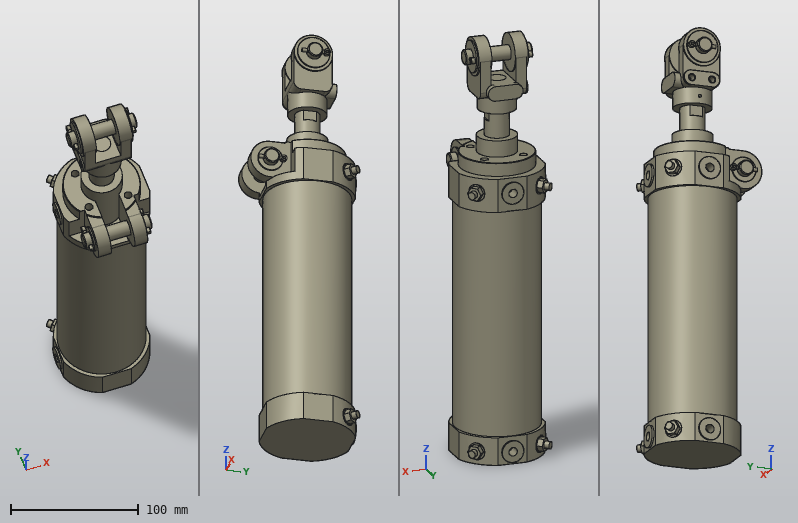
import cadquery as cq
import math

REAR_TOP = 23.0
HEAD_BOTTOM = 210.0
HEAD_STEP = 237.5
HEAD_TOP = 248.5
COLLAR_TOP = 262.0
ROD_FLATS_BOTTOM = 275.5
CLEVIS_BOTTOM = 284.0
CLEVIS_BASE_BOTTOM = 297.0
CLEVIS_BASE_TOP = 309.0
CLEVIS_PIN_Z = 329.0
LUG_PIN_Z = 232.0

TUBE_DIA = 70.0
COVER_HALF = 36.0
COVER_FLAT = 24.0
COVER_RADIUS = math.hypot(COVER_HALF, COVER_FLAT / 2)
SPIGOT_DIA = 61.0
SPIGOT_CHAMFER = 0.5
COLLAR_DIA = 32.5
ROD_DIA = 20.0
ROD_ACROSS_FLATS = 17.0
STUD_DIA = 14.38

EYE_DIA = 31.0
GAP = 19.5
EYE_WIDTH = 41.0
PIN_DIA = 12.0
PIN_LENGTH = 55.5
PIN_CHAMFER = 0.8
LUG_PIN_Y = -35.0
LUG_TOP = LUG_PIN_Z + EYE_DIA / 2
RELIEF_Y = -18.0
RELIEF_FLOOR = 217.2
SLOT_FLOOR = 214.0
LUG_FACE_DIA = 20.0
FORK_FACE_DIA = 26.0
FACE_WIDTH = 43.5

PORT_ANGLES = (90, 180)
PORT_BOSS_DIA = 18.0
PORT_BOSS_HEIGHT = 1.5
PORT_DIA = 6.93
PORT_DEPTH = 12.0
DRILL_POINT_ANGLE = 118.0
PORT_POINT = PORT_DIA / 2 / math.tan(math.radians(DRILL_POINT_ANGLE / 2))
REAR_PORT_Z = 10.5
HEAD_PORT_Z = 225.0
VALVE_ANGLES = (45, 135)
VALVE_SPOT_DIA = 13.8
VALVE_SPOT_RADIUS = 37.0
VALVE_HEX = 10.0
VALVE_HEX_REACH = 42.0
VALVE_STEM_DIA = 6.0
VALVE_REACH = 46.5
BOLT_DIA = 6.0
BOLT_CIRCLE = 46.0
BOLT_COUNT = 4
BOLT_ANGLE = 45.0
BOLT_DEPTH = 10.0

FORK_WIDTH = 38.5
FORK_GAP = 21.0
PAD_HEIGHT = CLEVIS_BASE_TOP - CLEVIS_BASE_BOTTOM
PAD_RADIUS = PAD_HEIGHT / 2
PAD_Z = CLEVIS_BASE_BOTTOM + PAD_RADIUS
SIDE_PAD_REACH = EYE_WIDTH / 2
SIDE_PAD_LENGTH = 30.0
REAR_PAD_REACH = 20.5
REAR_PAD_LENGTH = 29.0
SCREW_SPACING = 17.0
SCREW_DIA = 4.92
SCREW_MOUTH_DIA = 6.0
SCREW_MOUTH_ANGLE = 90.0
SCREW_DEPTH = 8.0
NUB_DIA = 2.3
NUB_Z = 290.0
NUB_REACH = 16.2

SPLIT_DIA = 3.0
SPLIT_X = 23.8
SPLIT_TAIL = 10.0
SPLIT_RING_DIA = 4.92
SPLIT_RING_WIDTH = 3.2
SPLIT_EYE_DIA = 2.3
SPLIT_RING_Y = 10.0


def rod_z(diameter, bottom, top):
    return cq.Workplane("XY").workplane(offset=bottom).circle(diameter / 2).extrude(top - bottom)


def bar_x(diameter, width, y, z):
    """Round bar along X, centred on X = 0."""
    return cq.Workplane("YZ", origin=(-width / 2, y, z)).circle(diameter / 2).extrude(width)


def block(x0, x1, y0, y1, z0, z1):
    return cq.Workplane("XY").box(x1 - x0, y1 - y0, z1 - z0, centered=False).translate((x0, y0, z0))


def cover(bottom, top):
    """Round cover with four flats."""
    square = block(-COVER_HALF, COVER_HALF, -COVER_HALF, COVER_HALF, bottom, top)
    return rod_z(2 * COVER_RADIUS, bottom, top).intersect(square)


def radially(shape, angle, z):
    """Turn a shape built along +Z so that it points outward at an angle, at height z."""
    return shape.rotate((0, 0, 0), (0, 1, 0), 90).rotate((0, 0, 0), (0, 0, 1), angle).translate((0, 0, z))


def add_ports_and_valves(body, z):
    """Add the port bosses and the needle valves of one cover."""
    boss_end = COVER_HALF + PORT_BOSS_HEIGHT
    for angle in PORT_ANGLES:
        boss = rod_z(PORT_BOSS_DIA, TUBE_DIA / 2, boss_end)
        port = rod_z(PORT_DIA, boss_end - PORT_DEPTH, boss_end)
        drill_point = cq.Solid.makeCone(
            0, PORT_DIA / 2, PORT_POINT, pnt=cq.Vector(0, 0, boss_end - PORT_DEPTH - PORT_POINT)
        )
        port = port.union(cq.Workplane(drill_point))
        body = body.union(radially(boss, angle, z)).cut(radially(port, angle, z))
    for angle in VALVE_ANGLES:
        spot_face = rod_z(VALVE_SPOT_DIA, VALVE_SPOT_RADIUS, VALVE_REACH)
        body = body.cut(radially(spot_face, angle, z))
        hexagon = (
            cq.Workplane("XY")
            .workplane(offset=TUBE_DIA / 2)
            .polygon(6, VALVE_HEX, circumscribed=True)
            .extrude(VALVE_HEX_REACH - TUBE_DIA / 2)
        )
        stem = rod_z(VALVE_STEM_DIA, TUBE_DIA / 2, VALVE_REACH)
        body = body.union(radially(hexagon.union(stem), angle, z))
    return body


def make_head():
    """Front cover with the mounting lugs and the collar."""
    spigot = rod_z(SPIGOT_DIA, RELIEF_FLOOR, HEAD_TOP).faces(">Z").chamfer(SPIGOT_CHAMFER)
    head = cover(HEAD_BOTTOM, HEAD_STEP).union(spigot)
    clear = 2 * COVER_HALF
    head = head.cut(block(-clear, clear, -clear, RELIEF_Y, RELIEF_FLOOR, HEAD_TOP))
    half = EYE_WIDTH / 2
    lugs = block(-half, half, LUG_PIN_Y, RELIEF_Y, RELIEF_FLOOR, LUG_TOP)
    lugs = lugs.union(bar_x(EYE_DIA, EYE_WIDTH, LUG_PIN_Y, LUG_PIN_Z))
    lugs = lugs.union(spigot.intersect(block(-half, half, -clear, RELIEF_Y, RELIEF_FLOOR, HEAD_TOP)))
    lugs = lugs.union(bar_x(LUG_FACE_DIA, FACE_WIDTH, LUG_PIN_Y, LUG_PIN_Z))
    head = head.union(lugs)
    head = head.cut(block(-GAP / 2, GAP / 2, -clear, 0, SLOT_FLOOR, HEAD_TOP))
    head = head.cut(bar_x(PIN_DIA, FACE_WIDTH, LUG_PIN_Y, LUG_PIN_Z))
    bolts = (
        cq.Workplane("XY")
        .workplane(offset=HEAD_TOP - BOLT_DEPTH)
        .polarArray(BOLT_CIRCLE / 2, BOLT_ANGLE, 360, BOLT_COUNT)
        .circle(BOLT_DIA / 2)
        .extrude(BOLT_DEPTH)
    )
    return head.cut(bolts).union(rod_z(COLLAR_DIA, HEAD_BOTTOM, COLLAR_TOP))


def make_cylinder():
    """Tube with both covers, the collar and the rod with its end stud."""
    body = cover(0, REAR_TOP).union(rod_z(TUBE_DIA, REAR_TOP, HEAD_BOTTOM)).union(make_head())
    for z in (REAR_PORT_Z, HEAD_PORT_Z):
        body = add_ports_and_valves(body, z)
    rod = rod_z(ROD_DIA, COLLAR_TOP, CLEVIS_BOTTOM)
    half_flats = ROD_ACROSS_FLATS / 2
    for side in (-1, 1):
        x0, x1 = sorted((side * half_flats, side * ROD_DIA))
        rod = rod.cut(block(x0, x1, -ROD_DIA, ROD_DIA, ROD_FLATS_BOTTOM, CLEVIS_BOTTOM))
    stud = rod_z(STUD_DIA, CLEVIS_BOTTOM, CLEVIS_BASE_TOP)
    return body.union(rod).union(stud)


def make_clevis():
    """Fork that sits on the end of the rod."""
    depth = EYE_DIA / 2
    fork = block(-FORK_WIDTH / 2, FORK_WIDTH / 2, -depth, depth, CLEVIS_BASE_BOTTOM, CLEVIS_PIN_Z)
    fork = fork.edges("|X and <Z").fillet(PAD_RADIUS)
    fork = fork.cut(block(-FORK_GAP / 2, FORK_GAP / 2, -depth, depth, CLEVIS_BASE_TOP, CLEVIS_PIN_Z))
    eyes = bar_x(EYE_DIA, EYE_WIDTH, 0, CLEVIS_PIN_Z).union(bar_x(FORK_FACE_DIA, FACE_WIDTH, 0, CLEVIS_PIN_Z))
    eyes = eyes.cut(bar_x(EYE_DIA, GAP, 0, CLEVIS_PIN_Z))
    clevis = fork.union(eyes).cut(bar_x(PIN_DIA, FACE_WIDTH, 0, CLEVIS_PIN_Z))
    clevis = clevis.union(rod_z(EYE_DIA, CLEVIS_BOTTOM, PAD_Z))
    side_pad = (
        cq.Workplane("YZ").center(0, PAD_Z).slot2D(SIDE_PAD_LENGTH, PAD_HEIGHT).extrude(-SIDE_PAD_REACH)
    )
    rear_pad = (
        cq.Workplane("XZ").center(0, PAD_Z).slot2D(REAR_PAD_LENGTH, PAD_HEIGHT).extrude(-REAR_PAD_REACH)
    )
    clevis = (
        clevis.union(side_pad)
        .union(rear_pad)
        .copyWorkplane(cq.Workplane("ZY", origin=(-SIDE_PAD_REACH, 0, PAD_Z)))
        .pushPoints([(0, -SCREW_SPACING / 2), (0, SCREW_SPACING / 2)])
        .cskHole(SCREW_DIA, SCREW_MOUTH_DIA, SCREW_MOUTH_ANGLE, SCREW_DEPTH)
    )
    clevis = clevis.union(radially(rod_z(NUB_DIA, STUD_DIA / 2, NUB_REACH), 180, NUB_Z))
    return clevis.cut(rod_z(STUD_DIA, CLEVIS_BOTTOM, CLEVIS_BASE_TOP))


def make_split_pin(x, y, z):
    """Split pin along Y with a ring for a head at its +Y end."""
    shank = (
        cq.Workplane("XZ", origin=(x, y + SPLIT_RING_Y, z))
        .circle(SPLIT_DIA / 2)
        .extrude(SPLIT_RING_Y + SPLIT_TAIL)
    )
    ring = bar_x(SPLIT_RING_DIA, SPLIT_RING_WIDTH, y + SPLIT_RING_Y, z)
    eye = bar_x(SPLIT_EYE_DIA, SPLIT_RING_WIDTH, y + SPLIT_RING_Y, z)
    return shank.union(ring.translate((x, 0, 0))).cut(eye.translate((x, 0, 0)))


def make_pin(y, z):
    """Chamfered pin along X."""
    return bar_x(PIN_DIA, PIN_LENGTH, y, z).faces("<X or >X").chamfer(PIN_CHAMFER)


bodies = [make_cylinder().val(), make_clevis().val()]
for pin_y, pin_z in ((LUG_PIN_Y, LUG_PIN_Z), (0, CLEVIS_PIN_Z)):
    pin = make_pin(pin_y, pin_z)
    for split_x in (-SPLIT_X, SPLIT_X):
        split_pin = make_split_pin(split_x, pin_y, pin_z)
        pin = pin.cut(split_pin)
        bodies.append(split_pin.val())
    bodies.append(pin.val())

result = cq.Compound.makeCompound(bodies)